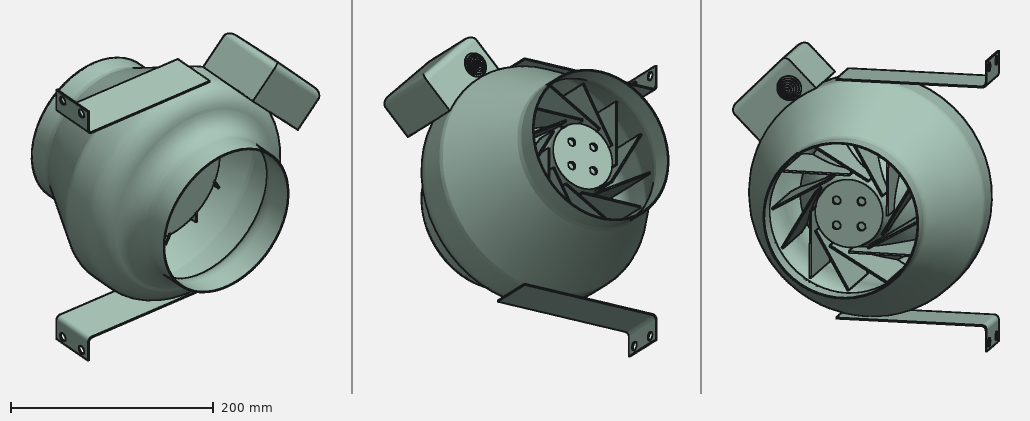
import cadquery as cq
import math

duct_length = 210.0
pipe_radius = 78.8
belly_radius = 119.8
wall = 1.2
cone_start = 24.5
cone_end = 107.0
belly_end = 136.2
outlet_start = 185.8
bell_flat = 3.5
cone_start_blend = 12.3
cone_end_blend = 10.3

box_angle = 45.0
box_start = 108.5
box_length = 79.0
box_width = 80.3
box_bottom = 112.8
box_top = 157.0
box_fillet = 7.3

gland_height = 131.3
gland_offset = -20.0
gland_steps = 6
gland_radius = 12.3
gland_radius_step = 2.1
gland_flange = 0.5
gland_step_height = 2.2

hub_start = 34.0
hub_length = 79.0
hub_neck_length = 14.6
hub_neck_radius = 34.3
hub_back_radius = 69.0
hub_neck_blend = 35.2
hub_hole_radius = 4.0
hub_hole_spacing = 25.2
hub_hole_depth = 3.0
vane_count = 12
vane_tip_radius = 78.0
vane_offset = 39.0
vane_thickness = 1.8
vane_phase = 0.4

bracket_start = 97.3
bracket_width = 50.7
bracket_thickness = 1.5
bracket_rear = 28.5
bracket_front = -124.8
bracket_tip = 146.5
bend_radius = 5.3
bracket_hole_diameter = 8.8
bracket_hole_spacing = 29.5
bracket_hole_inset = 7.3


def edges_near(x):
    """Selector for the circular edges that lie close to one station along X."""
    reach = duct_length
    margin = 3.0
    low_corner = (x - margin, -reach, -reach)
    high_corner = (x + margin, reach, reach)
    return cq.selectors.BoxSelector(low_corner, high_corner, boundingbox=True)


def make_duct_envelope():
    """Filled outer shape of the duct; the outlet bell is two equal arcs joined by a short tangent line."""
    bell_length = outlet_start - belly_end
    bell_drop = belly_radius - pipe_radius
    arc_radius = (bell_length**2 + bell_drop**2 - bell_flat**2) / (4 * bell_drop)
    tilt = math.atan2(2 * arc_radius - bell_drop, bell_length) + math.atan2(bell_flat, 2 * arc_radius)
    half_x = bell_flat / 2 * math.sin(tilt)
    half_r = bell_flat / 2 * math.cos(tilt)
    middle_x = belly_end + bell_length / 2
    middle_r = pipe_radius + bell_drop / 2
    envelope = (
        cq.Workplane("XZ")
        .lineTo(0, pipe_radius)
        .lineTo(cone_start, pipe_radius)
        .lineTo(cone_end, belly_radius)
        .lineTo(belly_end, belly_radius)
        .radiusArc((middle_x - half_x, middle_r + half_r), arc_radius)
        .lineTo(middle_x + half_x, middle_r - half_r)
        .radiusArc((outlet_start, pipe_radius), -arc_radius)
        .lineTo(duct_length, pipe_radius)
        .lineTo(duct_length, 0)
        .close()
        .revolve(360, (0, 0, 0), (1, 0, 0))
    )
    envelope = envelope.edges(edges_near(cone_start)).fillet(cone_start_blend)
    return envelope.edges(edges_near(cone_end)).fillet(cone_end_blend)


def make_terminal_box():
    """Box with filleted lid edges and its stepped cable gland."""
    box = (
        cq.Workplane("XY", origin=(box_start + box_length / 2, 0, box_bottom))
        .rect(box_length, box_width)
        .extrude(box_top - box_bottom)
        .faces(">Z").edges().fillet(box_fillet)
    )
    for step in range(gland_steps):
        step_radius = gland_radius - step * gland_radius_step
        step_height = gland_flange + step * gland_step_height
        disc = (
            cq.Workplane("YZ", origin=(box_start, gland_offset, gland_height))
            .circle(step_radius)
            .extrude(-step_height)
        )
        box = box.union(disc)
    return box.rotate((0, 0, 0), (1, 0, 0), -box_angle)


def make_housing():
    """Hollow duct joined to the terminal box, with the airway left clear."""
    envelope = make_duct_envelope()
    duct = envelope.faces("<X or >X").shell(-wall)
    return duct.union(make_terminal_box().cut(envelope))


def make_impeller():
    """Hub flaring from a round neck, with blind holes in its face and vanes tangent to a circle round the axis."""
    hub_end = hub_start + hub_length
    neck_end = hub_start + hub_neck_length
    hub = (
        cq.Workplane("XZ")
        .moveTo(hub_start, 0)
        .lineTo(hub_start, hub_neck_radius)
        .lineTo(neck_end, hub_neck_radius)
        .lineTo(hub_end, hub_back_radius)
        .lineTo(hub_end, 0)
        .close()
        .revolve(360, (0, 0, 0), (1, 0, 0))
        .edges(edges_near(neck_end)).fillet(hub_neck_blend)
    )
    holes = (
        cq.Workplane("YZ", origin=(hub_start, 0, 0))
        .rect(hub_hole_spacing, hub_hole_spacing, forConstruction=True)
        .vertices()
        .circle(hub_hole_radius)
        .extrude(hub_hole_depth)
    )
    vane_reach = math.sqrt(vane_tip_radius**2 - vane_offset**2)
    vane = (
        cq.Workplane("XY")
        .box(hub_length, vane_reach, vane_thickness, centered=(False, False, True))
        .translate((hub_start, 0, vane_offset))
    )
    impeller = hub
    for index in range(vane_count):
        angle = vane_phase + index * 360 / vane_count
        impeller = impeller.union(vane.rotate((0, 0, 0), (1, 0, 0), angle))
    return impeller.cut(holes)


def make_bracket(side):
    """L-shaped strip above (side = 1) or below (side = -1) the duct."""
    outer_face = belly_radius + bracket_thickness
    inner_front = bracket_front + bracket_thickness
    bracket = (
        cq.Workplane("YZ", origin=(bracket_start, 0, 0))
        .moveTo(bracket_rear, belly_radius)
        .lineTo(bracket_front + bend_radius, belly_radius)
        .radiusArc((bracket_front, belly_radius + bend_radius), bend_radius)
        .lineTo(bracket_front, bracket_tip)
        .lineTo(inner_front, bracket_tip)
        .lineTo(inner_front, belly_radius + bend_radius)
        .radiusArc((bracket_front + bend_radius, outer_face), -(bend_radius - bracket_thickness))
        .lineTo(bracket_rear, outer_face)
        .close()
        .extrude(bracket_width)
    )
    hole_x = bracket_start + bracket_width / 2
    holes = (
        cq.Workplane("XZ", origin=(hole_x, inner_front, bracket_tip - bracket_hole_inset))
        .rarray(bracket_hole_spacing, 3, 2, 1)
        .circle(bracket_hole_diameter / 2)
        .extrude(bracket_thickness)
    )
    bracket = bracket.cut(holes)
    return bracket if side > 0 else bracket.mirror("XY")


housing = make_housing()
impeller = make_impeller()
brackets = [make_bracket(side) for side in (1, -1)]

result = cq.Compound.makeCompound(
    [housing.val(), impeller.val(), *[bracket.val() for bracket in brackets]]
)